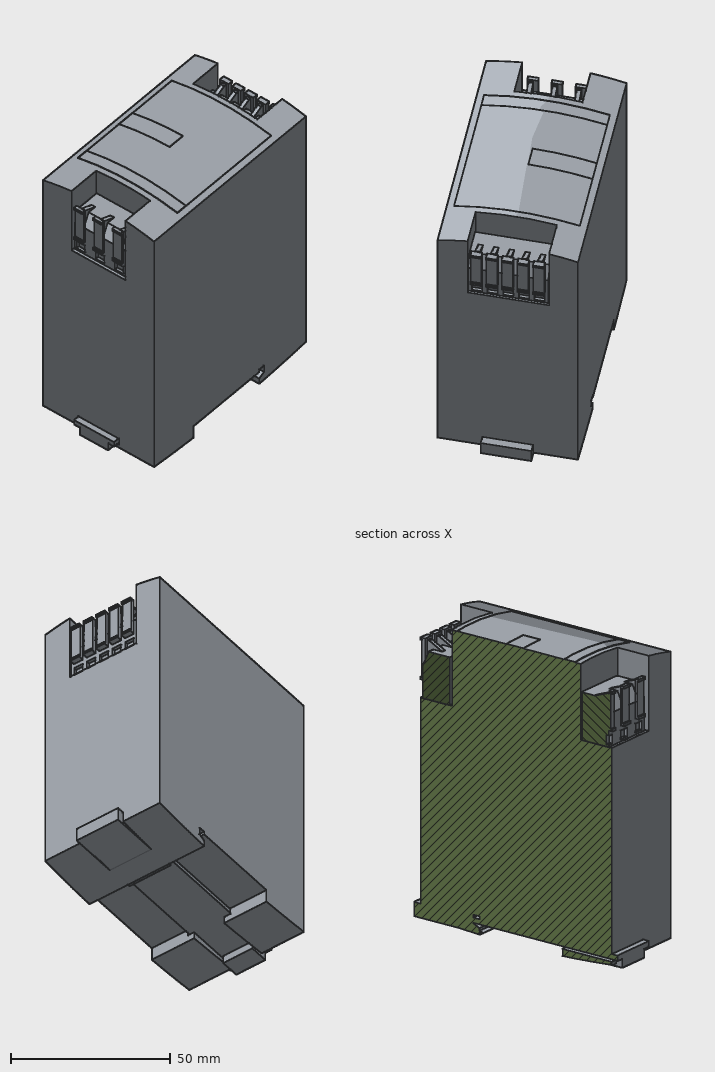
import cadquery as cq
import math

width = 45.0
depth = 75.2
half_width = width / 2
half_depth = depth / 2
top_height = 100.3
shoulder_z = 97.4
underside_edge_z = 1.5

plate_rise = 0.1
label_half_width = 20.2
label_front_y = -23.2
label_rear_y = 23.3
stripe_rear_y = -19.0
logo_front_y = -2.9
logo_rear_y = 3.7
logo_right_x = 0.4
crown_z = top_height - 2 * plate_rise

margin = 1.0

slot_front_y = -18.1
slot_rear_y = 14.4
slot_ceiling_z = 5.0
undercut_rear_y = 16.8
undercut_top_z = 6.1
hook_root_z = 3.4
hook_lip_z = 2.3

latch_front_y = -39.8
latch_rear_y = 40.2
latch_half_width = 8.1
latch_top_z = 5.3
latch_arm_z = 3.4
latch_bottom_z = 0.4
stem_half_width = 5.7
stem_rear_y = -33.0
latch_tip_y = 12.6
latch_tip_z = 1.1
latch_tip_half_thickness = 0.3
latch_side_gap = 0.2
latch_guide_z = 2.7

recess_floor_z = 74.3
recess_back = 25.4
block_top_z = 90.4
block_chamfer_z = 85.3
lever_width = 3.5
lever_bottom_z = 79.7
lip_height = 0.8
gusset_width = 1.5
gusset_inner = 30.9
gusset_outer = 35.9
wire_hole_width = 3.3
wire_hole_bottom_z = 75.0
wire_hole_top_z = 78.0
wire_hole_depth = 1.1

input_recess_x = (-10.9, 10.9)
input_block_x = (-10.5, 10.2)
input_lever_pitch = 7.7
input_middle_lever_x = -0.4
input_levers_x = [input_middle_lever_x + input_lever_pitch * i for i in (-1, 0, 1)]
input_back = 25.7
input_chamfer_back = 34.1
input_face = 36.4
input_lever_face = 37.1
input_lip_face = 37.7
input_lever_top_z = 93.1
input_gusset_shift = 0.5

output_recess_x = (-13.2, 12.8)
output_block_x = (-12.8, 12.8)
output_lever_pitch = 5.0
output_levers_x = [output_lever_pitch * i for i in (-2, -1, 0, 1, 2)]
output_back = 26.1
output_chamfer_back = 34.5
output_face = 36.8
output_lever_face = 38.2
output_lip_face = 38.7
output_lever_top_z = 93.8
output_gusset_shift = 0.0


def box(x_range, y_range, z_range):
    """Box between two limits along each axis, given in either order."""
    (x0, x1), (y0, y1), (z0, z1) = sorted(x_range), sorted(y_range), sorted(z_range)
    return cq.Workplane("XY").box(x1 - x0, y1 - y0, z1 - z0, centered=False).translate((x0, y0, z0))


def both_sides(half):
    return (-half, half)


def prism_along_x(points, x_range):
    """Outline of (y, z) points carried along X."""
    start, end = x_range
    return cq.Workplane("YZ", origin=(start, 0, 0)).polyline(points).close().extrude(end - start)


def crowned_slab(x_range, y_range, rise):
    """Column under the crown surface raised by `rise`, starting at the shoulder height."""
    y0, y1 = y_range
    slab = (
        cq.Workplane("XZ", origin=(0, y1, 0))
        .moveTo(-half_width, shoulder_z + rise)
        .threePointArc((0, crown_z + rise), (half_width, shoulder_z + rise))
        .lineTo(half_width, shoulder_z - margin)
        .lineTo(-half_width, shoulder_z - margin)
        .close()
        .extrude(y1 - y0)
    )
    return slab.intersect(box(x_range, y_range, (shoulder_z - margin, top_height + margin)))


def housing_shell():
    """Block with a crowned top and an underside arched to reach z = 0 at the rear hook lip."""
    arch_centre_z = (half_depth**2 - slot_rear_y**2 + underside_edge_z**2) / (2 * underside_edge_z)
    arch_radius = math.hypot(slot_rear_y, arch_centre_z)
    lower = (
        cq.Workplane("YZ", origin=(-half_width, 0, 0))
        .moveTo(-half_depth, underside_edge_z)
        .threePointArc((0, arch_centre_z - arch_radius), (half_depth, underside_edge_z))
        .lineTo(half_depth, shoulder_z)
        .lineTo(-half_depth, shoulder_z)
        .close()
        .extrude(width)
    )
    return lower.union(crowned_slab(both_sides(half_width), both_sides(half_depth), 0))


def label_plates():
    """Label with a stripe at its front end and a logo plate on its left."""
    label = crowned_slab(both_sides(label_half_width), (label_front_y, label_rear_y), plate_rise)
    stripe = crowned_slab(both_sides(label_half_width), (label_front_y, stripe_rear_y), 2 * plate_rise)
    logo = crowned_slab((-label_half_width, logo_right_x), (logo_front_y, logo_rear_y), 2 * plate_rise)
    return label.union(stripe).union(logo)


def rail_slot():
    below = -margin
    outline = [
        (slot_front_y, below),
        (slot_front_y, slot_ceiling_z),
        (slot_rear_y, slot_ceiling_z),
        (slot_rear_y, undercut_top_z),
        (undercut_rear_y, undercut_top_z),
        (undercut_rear_y, hook_root_z),
        (slot_rear_y, hook_lip_z),
        (slot_rear_y, below),
    ]
    return prism_along_x(outline, both_sides(half_width))


def latch_guide():
    """T-shaped opening from the front face to the slot, open at the underside."""
    guide_y = (-half_depth, slot_front_y)
    arms = box(both_sides(latch_half_width + latch_side_gap), guide_y, (latch_guide_z, latch_top_z))
    stem = box(both_sides(stem_half_width + latch_side_gap), guide_y, (-margin, latch_top_z))
    return arms.union(stem)


def rail_latch():
    """Bar running front to rear, with a stem at the front and a hooked block at the rear."""
    bar = box(both_sides(latch_half_width), (latch_front_y, latch_rear_y), (latch_arm_z, latch_top_z))
    stem = box(both_sides(stem_half_width), (latch_front_y, stem_rear_y), (latch_bottom_z, latch_arm_z))
    hooked_block = prism_along_x(
        [
            (latch_rear_y, latch_bottom_z),
            (latch_rear_y, latch_top_z),
            (undercut_rear_y, latch_top_z),
            (undercut_rear_y, latch_tip_z + latch_tip_half_thickness),
            (slot_rear_y, latch_tip_z + latch_tip_half_thickness),
            (latch_tip_y, latch_tip_z),
            (slot_rear_y, latch_tip_z - latch_tip_half_thickness),
            (slot_rear_y, latch_bottom_z),
        ],
        both_sides(latch_half_width),
    )
    return bar.union(stem).union(hooked_block)


def terminal_recess(side, x_range):
    return box(x_range, (side * recess_back, side * half_depth), (recess_floor_z, top_height))


def lever(side, x, face, lever_face, lip_face, top_z, gusset_shift):
    """Upright lever with a lip at each end and a sloping gusset behind it."""
    lever_x = (x - lever_width / 2, x + lever_width / 2)
    shape = box(lever_x, (side * face, side * lever_face), (lever_bottom_z, top_z))
    for lip_z in (lever_bottom_z, top_z - lip_height):
        lip = box(lever_x, (side * face, side * lip_face), (lip_z, lip_z + lip_height))
        shape = shape.union(lip)
    gusset_top_z = top_z - lip_height
    gusset_x = x + gusset_shift
    gusset = prism_along_x(
        [
            (side * gusset_inner, block_top_z),
            (side * gusset_outer, gusset_top_z),
            (side * face, gusset_top_z),
            (side * face, block_chamfer_z),
            (side * gusset_inner, block_chamfer_z),
        ],
        (gusset_x - gusset_width / 2, gusset_x + gusset_width / 2),
    )
    return shape.union(gusset)


def terminal_block(
    side, x_range, levers_x, back, chamfer_back, face, lever_face, lip_face, lever_top_z, gusset_shift
):
    """Block on the recess floor; `side` is -1 at the front and +1 at the rear."""
    block = prism_along_x(
        [
            (side * back, recess_floor_z),
            (side * back, block_top_z),
            (side * chamfer_back, block_top_z),
            (side * face, block_chamfer_z),
            (side * face, recess_floor_z),
        ],
        x_range,
    )
    for x in levers_x:
        hole_x = (x - wire_hole_width / 2, x + wire_hole_width / 2)
        hole_y = (side * (face - wire_hole_depth), side * face)
        block = block.cut(box(hole_x, hole_y, (wire_hole_bottom_z, wire_hole_top_z)))
        block = block.union(lever(side, x, face, lever_face, lip_face, lever_top_z, gusset_shift))
    return block


housing = (
    housing_shell()
    .union(label_plates())
    .cut(rail_slot())
    .cut(latch_guide())
    .union(rail_latch())
    .cut(terminal_recess(-1, input_recess_x))
    .cut(terminal_recess(1, output_recess_x))
)

input_terminal = terminal_block(
    -1, input_block_x, input_levers_x, input_back, input_chamfer_back,
    input_face, input_lever_face, input_lip_face, input_lever_top_z, input_gusset_shift,
)
output_terminal = terminal_block(
    1, output_block_x, output_levers_x, output_back, output_chamfer_back,
    output_face, output_lever_face, output_lip_face, output_lever_top_z, output_gusset_shift,
)

result = cq.Compound.makeCompound(
    [housing.solids().val(), input_terminal.solids().val(), output_terminal.solids().val()]
)